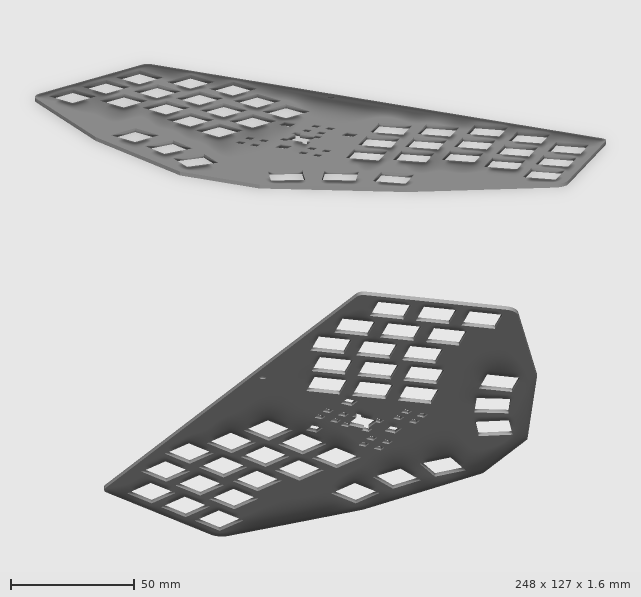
import cadquery as cq
import math

thickness = 1.6
plate_half_width = 124.0
plate_depth = 127.0
half_depth = plate_depth / 2
side_lean = 15.0
lower_slope = 36.2
shoulder_x = 73.0
bottom_half_width = 18.5
upper_radius = 3.2
outer_radius = 6.5
outer_arc_y = 2.7

key_size = 14.0
key_pitch = 19.0
bank_angle = side_lean
middle_column = 70.5
column_heights = (6.0, 8.5, 13.6, 8.5, -1.7)
rows = (-1, 0, 1)
thumb_keys = ((60.5, -27.5, 15.0), (40.2, -35.5, 25.0), (21.3, -46.5, 35.0))

pin_hole_diameter = 2.7
pin_hole_at = (-18.9, 59.0)

block_center = (-0.2, 2.7)
block_step_x = 14.6
block_step_y = 14.1
upper_row = block_center[1] + block_step_y
lower_row = block_center[1] - block_step_y
left_place = block_center[0] - block_step_x
right_place = block_center[0] + block_step_x
slot_groups = ((block_center[0], upper_row), (left_place, lower_row), (right_place, lower_row))
windows = ((left_place, upper_row), (right_place, upper_row), (block_center[0], lower_row))
slot_size = 3.2
slot_pitch_x = 6.7
slot_pitch_y = 7.2
window_width = 5.2
window_height = 5.0
chip_size = 9.2
chip_relief_size = 3.2
chip_relief_pitch = 9.7


def cutter(x, y, width, height, tilt=0.0):
    """Rectangular through-cutter centred on (x, y) and turned by tilt degrees."""
    block = cq.Workplane("XY").box(width, height, 2 * thickness)
    return block.rotate((0, 0, 0), (0, 0, 1), tilt).translate((x, y, 0))


def make_plate():
    """Rounded, mirror-symmetric plate; the side arcs reach exactly plate_half_width."""
    upper_normal = math.radians(side_lean)
    lower_normal = math.radians(lower_slope - 90)
    bisector = (upper_normal + lower_normal) / 2
    reach = outer_radius / math.cos((upper_normal - lower_normal) / 2)
    corner_x = plate_half_width - outer_radius + reach * math.cos(bisector)
    corner_y = outer_arc_y + reach * math.sin(bisector)
    shoulder_y = corner_y - (corner_x - shoulder_x) * math.tan(math.radians(lower_slope))
    top_x = corner_x - (half_depth - corner_y) * math.tan(upper_normal)
    right = [
        (top_x, half_depth),
        (corner_x, corner_y),
        (shoulder_x, shoulder_y),
        (bottom_half_width, -half_depth),
    ]
    left = [(-x, y) for x, y in reversed(right)]
    outline = cq.Workplane("XY").polyline(right + left).close()
    plate = outline.extrude(thickness / 2, both=True)
    plate = plate.edges("|Z").edges(">Y").fillet(upper_radius)
    return plate.edges("|Z").edges("<X or >X").fillet(outer_radius)


def key_places():
    """Right-hand key openings as (x, y, tilt)."""
    cos_bank = math.cos(math.radians(bank_angle))
    sin_bank = math.sin(math.radians(bank_angle))
    middle_index = len(column_heights) // 2
    places = list(thumb_keys)
    for index, height in enumerate(column_heights):
        along = middle_column + (index - middle_index) * key_pitch
        for row in rows:
            up = height + row * key_pitch
            x = along * cos_bank - up * sin_bank
            y = along * sin_bank + up * cos_bank
            places.append((x, y, bank_angle))
    return places


def four_places(center, pitch_x, pitch_y):
    """Corners of a pitch_x by pitch_y rectangle around center."""
    xs = (center[0] - pitch_x / 2, center[0] + pitch_x / 2)
    ys = (center[1] - pitch_y / 2, center[1] + pitch_y / 2)
    return [(x, y) for x in xs for y in ys]


def key_cutters():
    """Key openings on both halves, mirrored about the Y axis."""
    cutters = []
    for x, y, tilt in key_places():
        cutters.append(cutter(x, y, key_size, key_size, tilt))
        cutters.append(cutter(-x, y, key_size, key_size, -tilt))
    return cutters


def block_cutters():
    """Slots, windows and the chip opening with its corner reliefs."""
    cutters = [cutter(x, y, window_width, window_height) for x, y in windows]
    for group in slot_groups:
        for x, y in four_places(group, slot_pitch_x, slot_pitch_y):
            cutters.append(cutter(x, y, slot_size, slot_size))
    cutters.append(cutter(*block_center, chip_size, chip_size))
    for x, y in four_places(block_center, chip_relief_pitch, chip_relief_pitch):
        cutters.append(cutter(x, y, chip_relief_size, chip_relief_size))
    return cutters


def pin_cutter():
    """Round through-hole near the upper edge."""
    circle = cq.Workplane("XY").center(*pin_hole_at).circle(pin_hole_diameter / 2)
    return circle.extrude(thickness, both=True)


result = make_plate()
for opening in key_cutters() + block_cutters() + [pin_cutter()]:
    result = result.cut(opening)